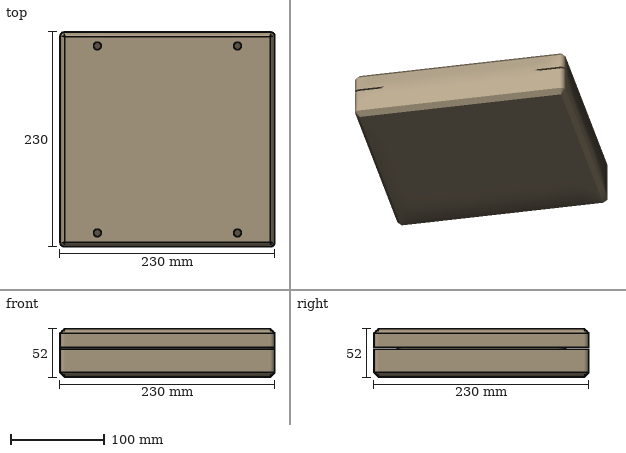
import cadquery as cq

side = 230.0
base_height = 30.0
gasket_thickness = 2.0
lid_height = 20.0
corner_radius = 5.0
edge_chamfer = corner_radius
gasket_width = 180.0
gasket_corner_radius = 10.0
hole_diameter = 8.0
hole_spacing_x = 150.0
hole_spacing_y = 200.0

gasket_bottom = base_height
lid_bottom = gasket_bottom + gasket_thickness


def rounded_plate(size_x, size_y, thickness, radius, bottom):
    """Flat plate with rounded upright corners, standing on the height 'bottom'."""
    return (
        cq.Workplane("XY", origin=(0, 0, bottom))
        .rect(size_x, size_y)
        .extrude(thickness)
        .edges("|Z")
        .fillet(radius)
    )


def make_base():
    """Lower block with a chamfered bottom rim."""
    block = rounded_plate(side, side, base_height, corner_radius, 0)
    return block.faces("<Z").chamfer(edge_chamfer)


def make_gasket():
    """Thin spacer between the base and the lid, narrower than both along Y."""
    return rounded_plate(side, gasket_width, gasket_thickness, gasket_corner_radius, gasket_bottom)


def make_lid():
    """Upper block with a chamfered top rim and four through holes outside the gasket."""
    block = rounded_plate(side, side, lid_height, corner_radius, lid_bottom)
    block = block.faces(">Z").chamfer(edge_chamfer)
    return (
        block.faces(">Z")
        .workplane(origin=(0, 0, 0))
        .rect(hole_spacing_x, hole_spacing_y, forConstruction=True)
        .vertices()
        .hole(hole_diameter)
    )


base = make_base()
gasket = make_gasket()
lid = make_lid()

result = cq.Compound.makeCompound([body.solids().val() for body in (base, gasket, lid)])